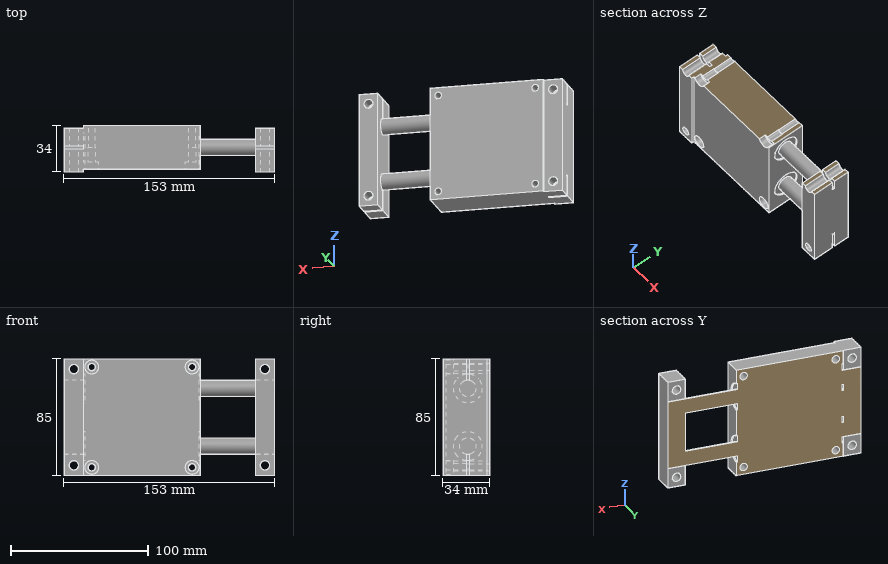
import cadquery as cq

HOUSING_SIDE = 85.0
HOUSING_THICKNESS = 32.0

PLATE_WIDTH = 14.0
PLATE_THICKNESS = 32.0
PLATE_OFFSET = -2.0
ROD_GAP = 40.0

ROD_DIAMETER = 12.0
ROD_SPACING = 42.0
SEAT_DIAMETER = 21.0
SEAT_DEPTH = 1.0

SLOT_WIDTH = 2.2
CLAMP_HOLE_DIAMETER = 6.6
CLAMP_HOLE_SPACING = 70.0

MOUNT_SPACING = 73.0
CLEARANCE_DIAMETER = 5.5
TAPPING_DIAMETER = 5.0
CLEARANCE_END_DEPTH = HOUSING_THICKNESS / 2
COUNTERBORE_DIAMETER = 10.0
COUNTERBORE_DEPTH = 5.5

housing_left = -HOUSING_SIDE / 2
housing_right = HOUSING_SIDE / 2
near_plate_x = housing_left - PLATE_WIDTH / 2
far_plate_x = housing_right + ROD_GAP + PLATE_WIDTH / 2
rod_start = near_plate_x - PLATE_WIDTH / 2
rod_end = far_plate_x + PLATE_WIDTH / 2
rod_heights = (-ROD_SPACING / 2, ROD_SPACING / 2)


def x_cylinders(diameter, start, end):
    """Cylinders along X on both rod axes, from x = start to x = end."""
    centres = [(0, height) for height in rod_heights]
    return (
        cq.Workplane("YZ", origin=(start, 0, 0))
        .pushPoints(centres)
        .circle(diameter / 2)
        .extrude(end - start)
    )


def make_housing():
    """Square block with stepped corner mounting holes and shallow bearing seats in both ends."""
    block = cq.Workplane("XY").box(HOUSING_SIDE, HOUSING_THICKNESS, HOUSING_SIDE)
    mount_steps = (
        (TAPPING_DIAMETER, HOUSING_THICKNESS),
        (CLEARANCE_DIAMETER, CLEARANCE_END_DEPTH),
        (COUNTERBORE_DIAMETER, COUNTERBORE_DEPTH),
    )
    for diameter, depth in mount_steps:
        block = (
            block.faces("<Y")
            .workplane(centerOption="CenterOfBoundBox")
            .rect(MOUNT_SPACING, MOUNT_SPACING, forConstruction=True)
            .vertices()
            .hole(diameter, depth)
        )
    block = block.cut(x_cylinders(SEAT_DIAMETER, housing_left, housing_left + SEAT_DEPTH))
    return block.cut(x_cylinders(SEAT_DIAMETER, housing_right - SEAT_DEPTH, housing_right))


def make_plate(x_centre):
    """Bar with a clamp screw hole and a slot down to the rod at each end."""
    plate = cq.Workplane("XY").box(PLATE_WIDTH, PLATE_THICKNESS, HOUSING_SIDE)
    plate = (
        plate.faces("<Y")
        .workplane(centerOption="CenterOfBoundBox")
        .rarray(1, CLAMP_HOLE_SPACING, 1, 2)
        .hole(CLAMP_HOLE_DIAMETER)
    )
    plate = plate.translate((x_centre, PLATE_OFFSET, 0))
    slot_length = (HOUSING_SIDE - ROD_SPACING) / 2
    slot = cq.Workplane("XY").box(PLATE_WIDTH, SLOT_WIDTH, slot_length)
    slot_height = (HOUSING_SIDE - slot_length) / 2
    for direction in (-1, 1):
        plate = plate.cut(slot.translate((x_centre, 0, direction * slot_height)))
    return plate


result = (
    make_housing()
    .union(make_plate(near_plate_x))
    .union(make_plate(far_plate_x))
    .union(x_cylinders(ROD_DIAMETER, rod_start, rod_end))
)